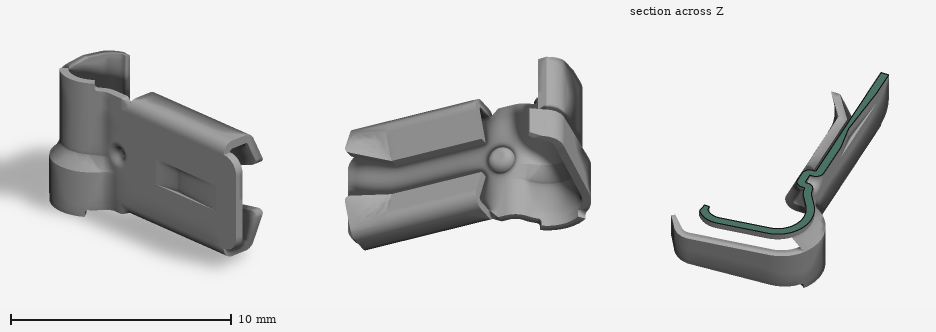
import cadquery as cq
import math


SHEET = 0.4

PLATE_END_X = 7.80
PLATE_HALF_Z = 2.35
PLATE_CORNER_R = 0.8
CRIMP_START_X = 0.635
CRIMP_END_X = 6.98
CRIMP_BEND_R = 0.54
CRIMP_INNER_R = CRIMP_BEND_R - SHEET
CRIMP_TOP_Y = 1.92
CURL_LEAN = 24
CURL_TIP_Z = 0.88
BARREL_HALF_Z = PLATE_HALF_Z + CRIMP_BEND_R

FLARE_START_X = 5.17
FLARE_HINGE = 40
FLARE_LEAN = -26
FLARE_TIP_Z = 1.18
FLARE_CORNER_R = 0.3

NECK_START_X = 0.244
NECK_TWIST = 48

POCKET_START_X = 2.53
POCKET_DEEP_X = 3.80
POCKET_END_X = 6.48
POCKET_HALF_Z = 0.635
POCKET_DEPTH = 0.19

DIMPLE_OUTER_R = 0.62
DIMPLE_ROUND_R = 0.37
DIMPLE_TOP_Y = 0.92
DIMPLE_FLOOR_R = 0.25
DIMPLE_FLARE_R = 0.40

HOOK_X = -2.385
NECK_BEND_R = 0.61
LEG_LEAN = 8
LEG_ANGLE = LEG_LEAN - 90

UPPER_CENTRE_Y = 0.93
UPPER_R = 1.68
UPPER_EXIT = 34
UPPER_BOTTOM_Z = -0.32
UPPER_LEG_TOP_Y = 3.08
UPPER_CURL_R = 1.12
UPPER_CURL_END = 53
NOSE_LENGTH = 0.21
NOSE_DROP = 0.05
UPPER_LEG_EDGE_Z = 3.0
UPPER_SLOPE = [(1.81, UPPER_LEG_EDGE_Z), (4.11, 2.5)]

LOWER_CENTRE_Y = 0.72
LOWER_R = 1.99
LOWER_EXIT = 58
LOWER_TOP_Z = -1.0
LOWER_LEG_OUTER_Y = 4.22
LOWER_LEG_INNER_Y = 4.37
LOWER_CURL_R = 0.94
LOWER_CURL_INNER_R = 0.5
LOWER_CURL_END = 64
LOWER_CURL_INNER_END = 45
LOWER_TIP = (-3.80, 5.59)
LOWER_TIP_INNER = (-3.67, 5.45)
LOWER_LEG_EDGE_Z = 2.92
LOWER_SLOPE = [(-0.57, LOWER_LEG_EDGE_Z), (LOWER_LEG_OUTER_Y, 2.56), (5.27, 2.41), (LOWER_TIP[1], 2.27)]

LUG_Z = 3.24
LUG_HALF_X = 1.15
LUG_FILLET_R = 0.15
FAR = 8.0


def sind(angle):
    return math.sin(math.radians(angle))


def cosd(angle):
    return math.cos(math.radians(angle))


def hook_point(centre_y, radius, angle):
    """Point on a hook arc; the angle runs from -Y towards +X."""
    return (HOOK_X + radius * sind(angle), centre_y - radius * cosd(angle))


def leg_point(start, end_y):
    """Point at height end_y on the leaning leg that begins at start."""
    return (start[0] - (end_y - start[1]) * math.tan(math.radians(LEG_LEAN)), end_y)


def curl_point(start, radius, heading):
    """Point on a curl that begins at start along the leg and has turned to the given heading."""
    centre = (start[0] + radius * cosd(LEG_LEAN), start[1] + radius * sind(LEG_LEAN))
    return (centre[0] - radius * cosd(heading), centre[1] + radius * sind(heading))


def curl_arc(sketch, start, radius, heading):
    middle = curl_point(start, radius, (heading - LEG_LEAN) / 2)
    return sketch.threePointArc(middle, curl_point(start, radius, heading))


def add_neck_run(sketch, centre_y, hook_r, exit_angle, start_angle):
    """Draw a hook from start_angle along its outer face to the neck and back along its inner face."""
    inner_r = hook_r - SHEET
    outer_exit = hook_point(centre_y, hook_r, exit_angle)
    inner_exit = hook_point(centre_y, inner_r, exit_angle)
    bend_start_y = -NECK_BEND_R * (1 - cosd(exit_angle))
    bend_start_x = outer_exit[0] + (bend_start_y - outer_exit[1]) / math.tan(math.radians(exit_angle))
    bend_x = bend_start_x + NECK_BEND_R * sind(exit_angle)

    def bend_point(radius, angle):
        return (bend_x - radius * sind(angle), -NECK_BEND_R + radius * cosd(angle))

    middle_angle = (start_angle + exit_angle) / 2
    outside_r = NECK_BEND_R + SHEET
    return (
        sketch
        .threePointArc(hook_point(centre_y, hook_r, middle_angle), outer_exit)
        .lineTo(*bend_point(NECK_BEND_R, exit_angle))
        .threePointArc(bend_point(NECK_BEND_R, exit_angle / 2), (bend_x, 0))
        .lineTo(NECK_START_X, 0)
        .lineTo(NECK_START_X, SHEET)
        .lineTo(bend_x, SHEET)
        .threePointArc(bend_point(outside_r, exit_angle / 2), bend_point(outside_r, exit_angle))
        .lineTo(*inner_exit)
        .threePointArc(hook_point(centre_y, inner_r, middle_angle), hook_point(centre_y, inner_r, start_angle))
    )


def lug_angle(hook_r):
    return math.degrees(math.asin(LUG_HALF_X / hook_r))


def edge_cutter(centre_y, hook_r, level, side):
    """Body that trims a band edge down to the level beside its lug (side -1: leg, +1: neck)."""
    centre = (HOOK_X, centre_y)
    far_x = HOOK_X + side * FAR
    lug_edge = hook_point(centre_y, FAR, side * lug_angle(hook_r))
    cutter = (
        cq.Workplane("XY").workplane(offset=level)
        .polyline([centre, lug_edge, (far_x, lug_edge[1]), (far_x, FAR), (HOOK_X, FAR)])
        .close().extrude(FAR)
    )
    edge_middle = hook_point(centre_y, FAR / 2, side * lug_angle(hook_r))
    return cutter.edges(cq.selectors.NearestToPointSelector((*edge_middle, level))).fillet(LUG_FILLET_R)


def slope_cutter(points):
    """Body above a falling edge line given as (Y, Z) points, on the leg side only."""
    outline = points + [(FAR, points[-1][1]), (FAR, FAR), (points[0][0], FAR)]
    return cq.Workplane("YZ").polyline(outline).close().extrude(-FAR).translate((HOOK_X, 0, 0))


def make_upper_band():
    inner_r = UPPER_R - SHEET
    outer_foot = hook_point(UPPER_CENTRE_Y, UPPER_R, LEG_ANGLE)
    inner_foot = hook_point(UPPER_CENTRE_Y, inner_r, LEG_ANGLE)
    outer_top = leg_point(outer_foot, UPPER_LEG_TOP_Y)
    inner_top = (outer_top[0] + SHEET * cosd(LEG_LEAN), outer_top[1] + SHEET * sind(LEG_LEAN))
    curl_inner_r = UPPER_CURL_R - SHEET
    inner_tip = curl_point(inner_top, curl_inner_r, UPPER_CURL_END)
    outer_tip = curl_point(outer_top, UPPER_CURL_R, UPPER_CURL_END)

    sketch = cq.Workplane("XY").workplane(offset=UPPER_BOTTOM_Z).moveTo(*outer_foot)
    sketch = add_neck_run(sketch, UPPER_CENTRE_Y, UPPER_R, UPPER_EXIT, LEG_ANGLE).lineTo(*inner_top)
    sketch = curl_arc(sketch, inner_top, curl_inner_r, UPPER_CURL_END)
    sketch = (
        sketch
        .lineTo(inner_tip[0] + NOSE_LENGTH, inner_tip[1])
        .lineTo(inner_tip[0] + NOSE_LENGTH, outer_tip[1] - NOSE_DROP)
        .lineTo(*outer_tip)
        .threePointArc(curl_point(outer_top, UPPER_CURL_R, (UPPER_CURL_END - LEG_LEAN) / 2), outer_top)
        .close()
    )
    band = sketch.extrude(LUG_Z - UPPER_BOTTOM_Z)
    band = band.cut(edge_cutter(UPPER_CENTRE_Y, UPPER_R, UPPER_LEG_EDGE_Z, -1))
    band = band.cut(edge_cutter(UPPER_CENTRE_Y, UPPER_R, BARREL_HALF_Z, 1))
    return band.cut(slope_cutter(UPPER_SLOPE))


def make_lower_band():
    """Built with its lug towards +Z and then mirrored."""
    inner_r = LOWER_R - SHEET
    outer_foot = hook_point(LOWER_CENTRE_Y, LOWER_R, LEG_ANGLE)
    inner_foot = hook_point(LOWER_CENTRE_Y, inner_r, LEG_ANGLE)
    outer_top = leg_point(outer_foot, LOWER_LEG_OUTER_Y)
    inner_top = leg_point(inner_foot, LOWER_LEG_INNER_Y)
    outer_curl_end = curl_point(outer_top, LOWER_CURL_R, LOWER_CURL_END)

    sketch = cq.Workplane("XY").workplane(offset=-LOWER_TOP_Z).moveTo(*outer_foot)
    sketch = add_neck_run(sketch, LOWER_CENTRE_Y, LOWER_R, LOWER_EXIT, LEG_ANGLE).lineTo(*inner_top)
    sketch = curl_arc(sketch, inner_top, LOWER_CURL_INNER_R, LOWER_CURL_INNER_END)
    sketch = (
        sketch
        .lineTo(*LOWER_TIP_INNER)
        .lineTo(*LOWER_TIP)
        .lineTo(*outer_curl_end)
        .threePointArc(curl_point(outer_top, LOWER_CURL_R, (LOWER_CURL_END - LEG_LEAN) / 2), outer_top)
        .close()
    )
    band = sketch.extrude(LUG_Z + LOWER_TOP_Z)
    band = band.cut(edge_cutter(LOWER_CENTRE_Y, LOWER_R, LOWER_LEG_EDGE_Z, -1))
    band = band.cut(edge_cutter(LOWER_CENTRE_Y, LOWER_R, BARREL_HALF_Z, 1))
    band = band.cut(slope_cutter(LOWER_SLOPE))
    return band.mirror("XY")


def hook_wire(centre_y, hook_r, exit_angle, level):
    """Closed outline of a hook from its lug edge to the neck."""
    start_angle = -lug_angle(hook_r)
    sketch = cq.Workplane("XY").workplane(offset=level).moveTo(*hook_point(centre_y, hook_r, start_angle))
    return add_neck_run(sketch, centre_y, hook_r, exit_angle, start_angle).close().val()


def make_band_web():
    """Ruled web that joins the two hooks across the gap between the bands."""
    lower = hook_wire(LOWER_CENTRE_Y, LOWER_R, LOWER_EXIT, LOWER_TOP_Z)
    upper = hook_wire(UPPER_CENTRE_Y, UPPER_R, UPPER_EXIT, UPPER_BOTTOM_Z)
    return cq.Workplane(cq.Solid.makeLoft([lower, upper], True))


def make_plate():
    """Flat base plate, from the neck to the rounded tab behind the barrel."""
    length = PLATE_END_X - NECK_START_X
    plate = cq.Workplane("XY").box(length, SHEET, 2 * PLATE_HALF_Z, centered=(False, False, True))
    return plate.translate((NECK_START_X, 0, 0)).edges("|Y and >X").fillet(PLATE_CORNER_R)


def near_bend_point(radius, angle):
    """(Y, Z) on the bend next to the plate; angle 0 is tangent to the plate."""
    return (CRIMP_BEND_R - radius * cosd(angle), PLATE_HALF_Z + radius * sind(angle))


def far_bend_point(radius, angle):
    """(Y, Z) on the bend at the curled edge; angle 0 points along +Y."""
    return (CRIMP_TOP_Y - CRIMP_BEND_R + radius * cosd(angle), PLATE_HALF_Z + radius * sind(angle))


def curl_tip(radius, lean, tip_z):
    """End of the straight leg that leaves the far bend at the given lean and is cut off level at tip_z."""
    foot = far_bend_point(radius, -lean)
    return (foot[0] - (foot[1] - tip_z) * math.tan(math.radians(lean)), tip_z)


def make_wing():
    """Upper wing of the barrel: bend, side wall and a curl that leans back over the plate."""
    outer = CRIMP_BEND_R
    inner = CRIMP_INNER_R
    curl_middle = (90 - CURL_LEAN) / 2
    wing = (
        cq.Workplane("YZ").workplane(offset=CRIMP_START_X)
        .moveTo(0, PLATE_HALF_Z)
        .threePointArc(near_bend_point(outer, 45), near_bend_point(outer, 90))
        .lineTo(*far_bend_point(outer, 90))
        .threePointArc(far_bend_point(outer, curl_middle), far_bend_point(outer, -CURL_LEAN))
        .lineTo(*curl_tip(outer, CURL_LEAN, CURL_TIP_Z))
        .lineTo(*curl_tip(inner, CURL_LEAN, CURL_TIP_Z))
        .lineTo(*far_bend_point(inner, -CURL_LEAN))
        .threePointArc(far_bend_point(inner, curl_middle), far_bend_point(inner, 90))
        .lineTo(*near_bend_point(inner, 90))
        .threePointArc(near_bend_point(inner, 45), near_bend_point(inner, 0))
        .close()
        .extrude(CRIMP_END_X - CRIMP_START_X)
    )
    return wing.cut(make_flare_gap()).union(make_flare())


def make_flare_gap():
    """Body that removes the curl behind the hinge line of the flare."""
    hinge = far_bend_point(CRIMP_BEND_R, FLARE_HINGE)
    centre = far_bend_point(0, 0)
    return (
        cq.Workplane("YZ").workplane(offset=FLARE_START_X)
        .polyline([centre, hinge, (FAR, hinge[1]), (FAR, 0), (SHEET, 0)])
        .close().extrude(CRIMP_END_X - FLARE_START_X)
    )


def flare_section(x, lean, tip_z):
    """Section of the curl from the hinge round the rest of the far bend and down its straight leg."""
    outer = CRIMP_BEND_R
    inner = CRIMP_INNER_R
    middle = (FLARE_HINGE - lean) / 2
    return (
        cq.Workplane("YZ").workplane(offset=x)
        .moveTo(*far_bend_point(outer, FLARE_HINGE))
        .threePointArc(far_bend_point(outer, middle), far_bend_point(outer, -lean))
        .lineTo(*curl_tip(outer, lean, tip_z))
        .lineTo(*curl_tip(inner, lean, tip_z))
        .lineTo(*far_bend_point(inner, -lean))
        .threePointArc(far_bend_point(inner, middle), far_bend_point(inner, FLARE_HINGE))
        .close().val()
    )


def make_flare():
    front = flare_section(FLARE_START_X, CURL_LEAN, CURL_TIP_Z)
    rear = flare_section(CRIMP_END_X, FLARE_LEAN, FLARE_TIP_Z)
    flare = cq.Workplane(cq.Solid.makeLoft([front, rear], True))
    middle_r = (CRIMP_BEND_R + CRIMP_INNER_R) / 2
    rear_corner = (CRIMP_END_X, *curl_tip(middle_r, FLARE_LEAN, FLARE_TIP_Z))
    return flare.edges(cq.selectors.NearestToPointSelector(rear_corner)).fillet(FLARE_CORNER_R)


def make_neck_edge():
    """Upper neck edge, changing from flat sheet to the start of the barrel bend."""
    flat = (
        cq.Workplane("YZ").workplane(offset=NECK_START_X)
        .polyline([(0, PLATE_HALF_Z), (0, BARREL_HALF_Z), (SHEET, BARREL_HALF_Z), (SHEET, PLATE_HALF_Z)])
        .close().val()
    )
    bent = (
        cq.Workplane("YZ").workplane(offset=CRIMP_START_X)
        .moveTo(0, PLATE_HALF_Z)
        .threePointArc(near_bend_point(CRIMP_BEND_R, NECK_TWIST / 2), near_bend_point(CRIMP_BEND_R, NECK_TWIST))
        .lineTo(*near_bend_point(CRIMP_INNER_R, NECK_TWIST))
        .threePointArc(near_bend_point(CRIMP_INNER_R, NECK_TWIST / 2), near_bend_point(CRIMP_INNER_R, 0))
        .close().val()
    )
    return cq.Workplane(cq.Solid.makeLoft([flat, bent], True))


def make_pocket():
    """Wedge-shaped pocket, deepest at the edge between its two ramps."""
    return (
        cq.Workplane("XY").workplane(offset=-POCKET_HALF_Z)
        .polyline([(POCKET_START_X, 0), (POCKET_DEEP_X, POCKET_DEPTH), (POCKET_END_X, 0)])
        .close().extrude(2 * POCKET_HALF_Z)
    )


def make_dimple_dome():
    dome = cq.Workplane("XZ").circle(DIMPLE_OUTER_R).extrude(-DIMPLE_TOP_Y)
    return dome.faces(">Y").edges().fillet(DIMPLE_ROUND_R)


def make_dimple_bowl():
    """Trumpet-mouthed recess that leaves one sheet thickness under the dome."""
    rim_r = DIMPLE_FLOOR_R + DIMPLE_FLARE_R
    throat = (DIMPLE_FLOOR_R, DIMPLE_FLARE_R)
    flare_middle = (rim_r - DIMPLE_FLARE_R * cosd(45), DIMPLE_FLARE_R * (1 - sind(45)))
    floor_y = DIMPLE_TOP_Y - SHEET
    return (
        cq.Workplane("XY")
        .moveTo(0, 0).lineTo(rim_r, 0)
        .threePointArc(flare_middle, throat)
        .lineTo(DIMPLE_FLOOR_R, floor_y).lineTo(0, floor_y)
        .close().revolve(360, (0, 0, 0), (0, 1, 0))
    )


wing = make_wing()
neck_edge = make_neck_edge()

body = make_plate()
for side_body in (wing, neck_edge):
    body = body.union(side_body).union(side_body.mirror("XY"))
for band_body in (make_upper_band(), make_lower_band(), make_band_web(), make_dimple_dome()):
    body = body.union(band_body)

result = body.cut(make_pocket()).cut(make_dimple_bowl())